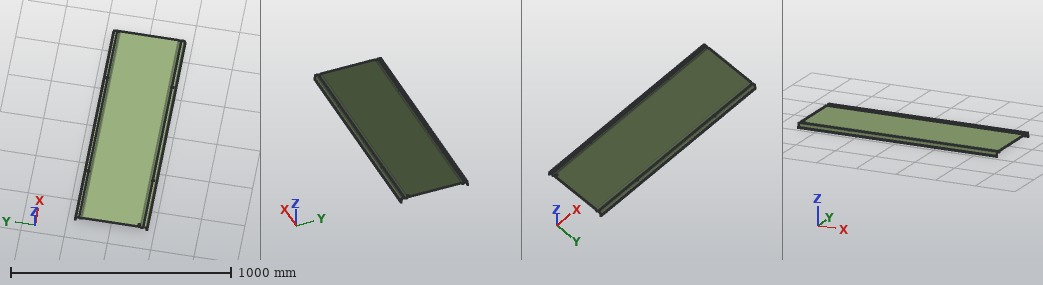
import cadquery as cq
import math

length = 1000.0
width = 333.0
height = 21.0
sheet = 1.0

rib_center = 141.0
rib_half_width = 7.0
rib_slope = 45
skirt_top = 162.0
bend_radius = 2.0
rib_bend_radius = 3.0
hem_height = 4.0
hem_gap = 0.5

slot_width = 3.0
slot_length = 9.0
slot_center = 150.0

hole_diameter = 6.0
hole_edge_distance = 10.0
hole_offset = 128.0

hem_width = 2 * sheet + hem_gap
skirt_bottom = width / 2 - hem_width
underside = height - sheet
rib_inner = rib_center - rib_half_width
rib_outer = rib_center + rib_half_width
rib_shift = sheet * math.tan(math.radians(rib_slope / 2))
rib_apex_top = height - rib_half_width * math.tan(math.radians(rib_slope))
rib_apex_bottom = rib_apex_top - sheet / math.cos(math.radians(rib_slope))


def half_section():
    """Closed outline of the sheet on the +Y side of the centre plane."""
    skirt_angle = math.atan2(height, skirt_bottom - skirt_top)
    skirt_shift = sheet * math.tan(skirt_angle / 2)
    hem_radius = hem_width / 2
    hem_axis = skirt_bottom + hem_radius
    fold_top = hem_radius

    return (
        cq.Workplane("YZ")
        .moveTo(0, height)
        .lineTo(rib_inner, height)
        .lineTo(rib_center, rib_apex_top)
        .lineTo(rib_outer, height)
        .lineTo(skirt_top, height)
        .lineTo(skirt_bottom + sheet, fold_top)
        .threePointArc((hem_axis, fold_top - hem_gap / 2), (hem_axis + hem_gap / 2, fold_top))
        .lineTo(hem_axis + hem_gap / 2, hem_height)
        .lineTo(width / 2, hem_height)
        .lineTo(width / 2, fold_top)
        .threePointArc((hem_axis, 0), (skirt_bottom, fold_top))
        .lineTo(skirt_top - skirt_shift, underside)
        .lineTo(rib_outer + rib_shift, underside)
        .lineTo(rib_center, rib_apex_bottom)
        .lineTo(rib_inner - rib_shift, underside)
        .lineTo(0, underside)
        .close()
    )


def round_bend(panel, y, z, radius):
    """Round the lengthwise edge that passes closest to (y, z)."""
    edge = cq.selectors.NearestToPointSelector((length / 2, y, z))
    return panel.edges(edge).fillet(radius)


def half_panel():
    """One half of the panel, with the skirt bend, inner rib shoulder and rib floor rounded."""
    panel = half_section().extrude(length)
    panel = round_bend(panel, skirt_top, height, bend_radius)
    panel = round_bend(panel, skirt_top - sheet, underside, bend_radius - sheet)
    panel = round_bend(panel, rib_inner, height, rib_bend_radius)
    panel = round_bend(panel, rib_inner - rib_shift, underside, rib_bend_radius - sheet)
    panel = round_bend(panel, rib_center, rib_apex_top, rib_bend_radius)
    return round_bend(panel, rib_center, rib_apex_bottom, rib_bend_radius + sheet)


half = half_panel()
panel = half.union(half.mirror("XZ"))

slot_places = [
    (x, y) for x in (length / 4, 3 * length / 4) for y in (-slot_center, slot_center)
]
slots = (
    cq.Workplane("XY")
    .pushPoints(slot_places)
    .slot2D(slot_length, slot_width, 90)
    .extrude(height)
)
corner_hole = (
    cq.Workplane("XY")
    .center(hole_edge_distance, -hole_offset)
    .circle(hole_diameter / 2)
    .extrude(height)
)

result = panel.cut(slots).cut(corner_hole)